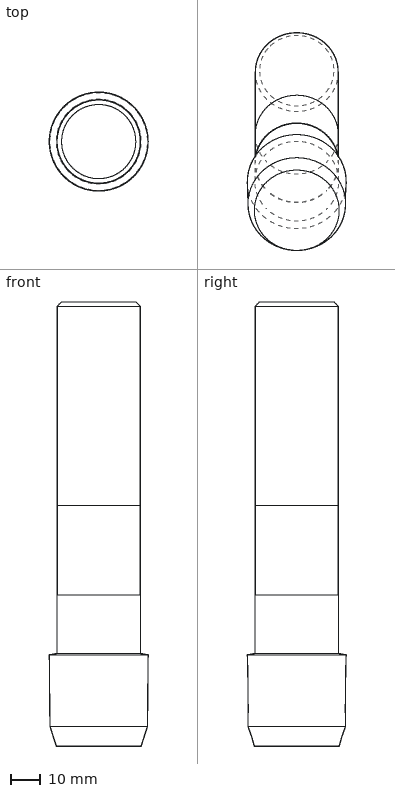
import cadquery as cq

total_height = 150.0

head_diameter = 33.5
foot_diameter = 28.6
foot_height = 6.8
side_bottom_diameter = 33.0
shoulder_height = 30.9
shoulder_rise = 0.5
head_height = shoulder_height + shoulder_rise

collar_diameter = 28.4
collar_top = 51.0
shank_diameter = 28.0
shank_start = 81.3
shank_chamfer = 1.5


def cylinder(diameter, bottom, top):
    """Upright cylinder about Z between two heights."""
    return cq.Workplane("XY").workplane(offset=bottom).circle(diameter / 2).extrude(top - bottom)


def make_head():
    """Revolved head, with a flat seat for the collar inside the sloping shoulder."""
    profile = [
        (0, 0),
        (foot_diameter / 2, 0),
        (side_bottom_diameter / 2, foot_height),
        (head_diameter / 2, shoulder_height),
        (collar_diameter / 2, head_height),
        (0, head_height),
    ]
    return cq.Workplane("XZ").polyline(profile).close().revolve(360, (0, 0, 0), (0, 1, 0))


def make_neck():
    """Collar and the slightly narrower length above it."""
    collar = cylinder(collar_diameter, head_height, collar_top)
    upper_length = cylinder(shank_diameter, collar_top, shank_start)
    return collar.union(upper_length)


def make_shank():
    """Plain shank with a chamfered top edge."""
    shank = cylinder(shank_diameter, shank_start, total_height)
    return shank.faces(">Z").chamfer(shank_chamfer)


head = make_head()
neck = make_neck()
shank = make_shank()

result = cq.Compound.makeCompound([head.val(), neck.val(), shank.val()])